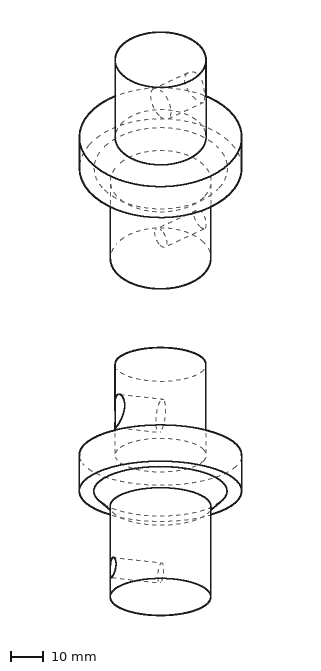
import cadquery as cq

lower_diameter = 31.0
lower_length = 30.0
cone_height = 5.0
flange_diameter = 50.0
flange_thickness = 12.0
upper_diameter = 28.0
upper_length = 30.0

upper_hole_diameter = 10.3
upper_hole_height = 60.0
lower_hole_diameter = 6.2
lower_hole_height = 8.0

lower_radius = lower_diameter / 2
flare_radius = lower_radius + cone_height
flange_radius = flange_diameter / 2
upper_radius = upper_diameter / 2

flange_bottom = lower_length + cone_height
flange_top = flange_bottom + flange_thickness
total_height = flange_top + upper_length


def turned_body():
    """Revolve the half profile (radius, height) about the Z axis."""
    profile = (
        cq.Workplane("XZ")
        .moveTo(0, 0)
        .lineTo(lower_radius, 0)
        .lineTo(lower_radius, lower_length)
        .lineTo(flare_radius, flange_bottom)
        .lineTo(flange_radius, flange_bottom)
        .lineTo(flange_radius, flange_top)
        .lineTo(upper_radius, flange_top)
        .lineTo(upper_radius, total_height)
        .lineTo(0, total_height)
        .close()
    )
    return profile.revolve(360, (0, 0, 0), (0, 1, 0))


def radial_hole(diameter, height):
    """Cutter running from the shaft axis out past the +Y side."""
    axis_point = cq.Vector(0, 0, height)
    outward = cq.Vector(0, 1, 0)
    cutter = cq.Solid.makeCylinder(diameter / 2, flange_radius, axis_point, outward)
    return cq.Workplane(obj=cutter)


result = (
    turned_body()
    .cut(radial_hole(upper_hole_diameter, upper_hole_height))
    .cut(radial_hole(lower_hole_diameter, lower_hole_height))
)